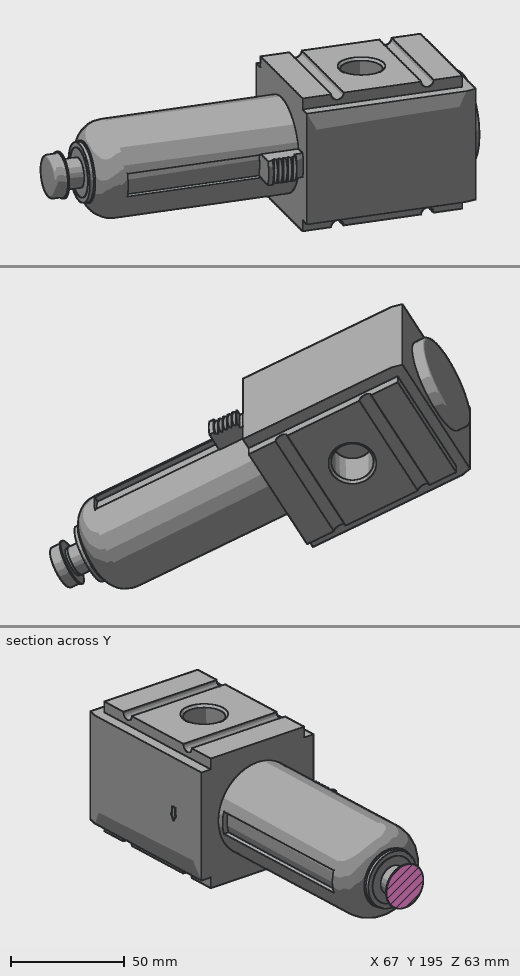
import cadquery as cq
import math


total_length = 195.0
land_length = 75.0
body_back_margin = 4.7
cap_length = 5.5
land_front_y = -land_length / 2
land_back_y = land_length / 2
body_back_y = land_back_y + body_back_margin
cap_end_y = body_back_y + cap_length
knob_end_y = cap_end_y - total_length

body_width = 63.0
body_height = 52.5
land_width = 52.5
land_height = 63.0
bulge_width = 67.0
bulge_taper_run = 8.35
groove_radius = 2.9
groove_spacing = 42.2
port_diameter = 18.6
port_rim_diameter = 21.0
port_depth = 20.0

arrow_y = -20.1
arrow_depth = 0.4
arrow_shaft_width = 2.3
arrow_shaft_length = 3.6
arrow_head_width = 3.6
arrow_head_length = 3.0

cap_radius = 21.6
cap_round = 1.3

bowl_radius = 22.0
dome_round = 11.5
dome_start_y = -119.1
dome_end_radius = 14.0
window_length = 77.2
window_height = 10.8
window_margin = 3.0
window_floor_radius = 19.5

collar_radius = 13.5
collar_taper = 0.6
collar_end_y = -132.4
collar_boss_radius = 11.2
collar_boss_height = 0.2
stem_radius = 6.8
stem_relief_radius = 6.5
stem_relief_length = 1.2
knob_flange_radius = 10.5
knob_flange_thickness = 0.6
knob_radius = 9.8
knob_shoulder_radius = 10.0
knob_shoulder_length = 1.5
knob_round = 1.3
knob_length = 6.4

latch_height = 11.4
latch_crown = 0.6
latch_inner_x = 18.0
latch_length = 17.6
latch_end_y = land_front_y - latch_length
latch_neck_x = 27.2
latch_neck_length = 4.1
latch_root_x = 28.5
latch_tip_x = 29.9
latch_lip_x = 30.8
latch_lip_length = 2.3
tooth_count = 5


def box_between(width, height, y_start, y_end):
    """Box centred on the Y axis between two Y stations."""
    length = abs(y_end - y_start)
    return cq.Workplane("XY").box(width, length, height).translate((0, (y_start + y_end) / 2, 0))


def side_bulges():
    """Crowned sides of the head, tapering off to the body side at both land ends."""
    half_body = body_width / 2
    half_bulge = bulge_width / 2
    half_height = body_height / 2
    crowned = (
        cq.Workplane("XZ", origin=(0, land_front_y, 0))
        .moveTo(half_body, -half_height)
        .threePointArc((half_bulge, 0), (half_body, half_height))
        .lineTo(-half_body, half_height)
        .threePointArc((-half_bulge, 0), (-half_body, -half_height))
        .close()
        .extrude(land_front_y - body_back_y)
    )
    slope = (half_bulge - half_body) / bulge_taper_run
    back_half = half_body - slope * (body_back_y - land_back_y)
    tapered = (
        cq.Workplane("XY", origin=(0, 0, -half_height))
        .moveTo(half_body, land_front_y)
        .lineTo(half_bulge, land_front_y + bulge_taper_run)
        .lineTo(half_bulge, land_back_y - bulge_taper_run)
        .lineTo(back_half, body_back_y)
        .lineTo(-back_half, body_back_y)
        .lineTo(-half_bulge, land_back_y - bulge_taper_run)
        .lineTo(-half_bulge, land_front_y + bulge_taper_run)
        .lineTo(-half_body, land_front_y)
        .close()
        .extrude(body_height)
    )
    return crowned.intersect(tapered)


def port():
    """Blind port with a 45 degree rim, opening at the upper land."""
    rim = (port_rim_diameter - port_diameter) / 2
    top = land_height / 2
    return (
        cq.Workplane("XZ")
        .moveTo(0, top)
        .lineTo(port_rim_diameter / 2, top)
        .lineTo(port_diameter / 2, top - rim)
        .lineTo(port_diameter / 2, top - port_depth)
        .lineTo(0, top - port_depth)
        .close()
        .revolve(360, (0, 0, 0), (0, 1, 0))
    )


def clamp_groove(y, z):
    """Round groove across a land."""
    return cq.Workplane("YZ").center(y, z).circle(groove_radius).extrude(land_width / 2, both=True)


def flow_arrow():
    """Arrow pointing along -Z, sunk into the crown of the -X side."""
    return (
        cq.Workplane("YZ", origin=(-bulge_width / 2, arrow_y, 0))
        .moveTo(arrow_shaft_width / 2, arrow_shaft_length)
        .lineTo(arrow_shaft_width / 2, 0)
        .lineTo(arrow_head_width / 2, 0)
        .lineTo(0, -arrow_head_length)
        .lineTo(-arrow_head_width / 2, 0)
        .lineTo(-arrow_shaft_width / 2, 0)
        .lineTo(-arrow_shaft_width / 2, arrow_shaft_length)
        .close()
        .extrude(arrow_depth)
    )


def head():
    """Crowned block with raised lands, clamp grooves, opposed ports and the flow arrow."""
    lands = box_between(land_width, land_height, land_front_y, land_back_y)
    solid = side_bulges().union(lands)
    for side in (1, -1):
        for end in (1, -1):
            solid = solid.cut(clamp_groove(end * groove_spacing / 2, side * land_height / 2))
    upper_port = port()
    return solid.cut(upper_port).cut(upper_port.mirror("XY")).cut(flow_arrow())


def cap():
    """Round cap on the back of the head with a rounded rim."""
    return (
        cq.Workplane("XZ", origin=(0, body_back_y, 0))
        .circle(cap_radius)
        .extrude(body_back_y - cap_end_y)
        .faces(">Y")
        .edges()
        .fillet(cap_round)
    )


def bowl_and_drain():
    """Bowl, domed end, collar, stem and knob as one turned body."""
    dome_centre_radius = bowl_radius - dome_round
    dome_end_angle = math.acos((dome_end_radius - dome_centre_radius) / dome_round)
    dome_end_y = dome_start_y - dome_round * math.sin(dome_end_angle)
    dome_middle = (
        dome_centre_radius + dome_round * math.cos(dome_end_angle / 2),
        dome_start_y - dome_round * math.sin(dome_end_angle / 2),
    )
    boss_end_y = collar_end_y - collar_boss_height
    knob_start_y = knob_end_y + knob_length
    relief_start_y = knob_start_y + stem_relief_length
    flange_end_y = knob_start_y - knob_flange_thickness
    return (
        cq.Workplane("XY")
        .moveTo(0, land_front_y)
        .lineTo(bowl_radius, land_front_y)
        .lineTo(bowl_radius, dome_start_y)
        .threePointArc(dome_middle, (dome_end_radius, dome_end_y))
        .lineTo(collar_radius, dome_end_y - collar_taper)
        .lineTo(collar_radius, collar_end_y)
        .lineTo(collar_boss_radius, collar_end_y)
        .lineTo(collar_boss_radius, boss_end_y)
        .lineTo(stem_radius, boss_end_y)
        .lineTo(stem_radius, relief_start_y)
        .lineTo(stem_relief_radius, relief_start_y)
        .lineTo(stem_relief_radius, knob_start_y)
        .lineTo(knob_flange_radius, knob_start_y)
        .lineTo(knob_flange_radius, flange_end_y)
        .lineTo(knob_shoulder_radius, flange_end_y)
        .lineTo(knob_radius, flange_end_y - knob_shoulder_length)
        .lineTo(knob_radius, knob_end_y + knob_round)
        .radiusArc((knob_radius - knob_round, knob_end_y), knob_round)
        .lineTo(0, knob_end_y)
        .close()
        .revolve(360, (0, 0, 0), (0, 1, 0))
    )


def windows():
    """Long shallow recesses in both sides of the bowl, with a floor concentric to the bowl."""
    window_start_y = land_front_y - window_margin
    window_end_y = window_start_y - window_length
    slab = box_between(body_width, window_height, window_start_y, window_end_y)
    core = (
        cq.Workplane("XZ", origin=(0, window_start_y, 0))
        .circle(window_floor_radius)
        .extrude(window_length)
    )
    return slab.cut(core)


def crowned_block(crest_x, y_start, y_end):
    """Block from inside the bowl wall out to a face crowned across Z."""
    edge_x = crest_x - latch_crown
    half_height = latch_height / 2
    return (
        cq.Workplane("XZ", origin=(0, y_start, 0))
        .moveTo(latch_inner_x, -half_height)
        .lineTo(edge_x, -half_height)
        .threePointArc((crest_x, 0), (edge_x, half_height))
        .lineTo(latch_inner_x, half_height)
        .close()
        .extrude(y_start - y_end)
    )


def latch():
    """Thumb latch: plain neck, toothed grip and end lip."""
    grip_start_y = land_front_y - latch_neck_length
    lip_start_y = latch_end_y + latch_lip_length
    pitch = (grip_start_y - lip_start_y) / tooth_count
    solid = crowned_block(latch_neck_x, land_front_y, latch_end_y)
    grip = crowned_block(latch_tip_x, grip_start_y, lip_start_y)
    for index in range(tooth_count):
        tip_y = grip_start_y - index * pitch
        notch = (
            cq.Workplane("XY", origin=(0, 0, -latch_height / 2))
            .moveTo(latch_tip_x, tip_y)
            .lineTo(latch_root_x, tip_y - pitch / 2)
            .lineTo(latch_tip_x, tip_y - pitch)
            .close()
            .extrude(latch_height)
        )
        grip = grip.cut(notch)
    lip = crowned_block(latch_lip_x, lip_start_y, latch_end_y)
    return solid.union(grip).union(lip)


result = head().union(cap()).union(bowl_and_drain().cut(windows())).union(latch())